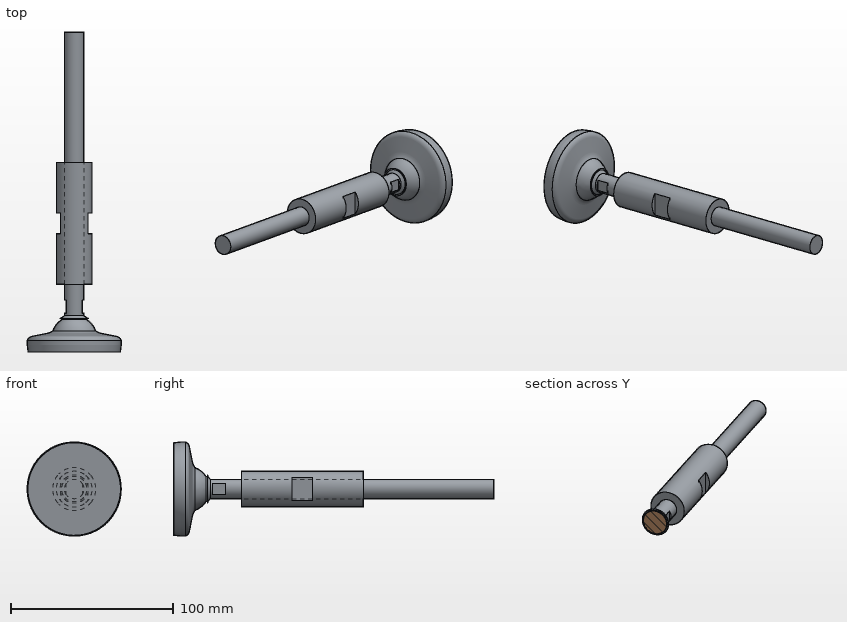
import cadquery as cq
import math

TOTAL_LENGTH = 197.0

PLATE_RADIUS = 29.0
GROUND_RADIUS = 28.5
TAPER_HEIGHT = 4.2
RIM_TOP = 7.2
SHOULDER_RADIUS = 26.0
SHOULDER_HEIGHT = 9.7
DOME_CENTRE = 8.1
DOME_RADIUS = 14.15
DOME_FOOT_HEIGHT = 13.1
DOME_TOP = 19.9
FLARE_RADIUS = 16.5
FLARE_HEIGHT = 11.6

SPINDLE_RADIUS = 12.0 / 2
SPINDLE_FLATS = 10.0
SPINDLE_FLAT_START = 23.9
SPINDLE_FLAT_LENGTH = 8.0
NECK_RADIUS = 7.8
LIP_RADIUS = 8.7
LIP_HEIGHT = 20.8
COLLAR_TOP = 22.5
COLLAR_SAG = 0.2

SLEEVE_RADIUS = 22.0 / 2
SLEEVE_LENGTH = 75.0
SLEEVE_START = 41.7
SLEEVE_FLATS = 17.0
SLEEVE_FLAT_LENGTH = 12.5


def revolve_about_y(profile):
    """Close a (radius, height) profile and turn it around the Y axis."""
    return profile.close().revolve(360, (0, 0, 0), (0, 1, 0))


def cut_flats(body, radius, across_flats, start, length):
    """Cut two parallel wrench flats on the -X and +X sides of a round body."""
    depth = radius - across_flats / 2
    for side in (-1, 1):
        cutter = cq.Workplane("XY").box(2 * depth, length, 2 * radius)
        offset = side * (across_flats / 2 + depth)
        body = body.cut(cutter.translate((offset, start + length / 2, 0)))
    return body


def arc_middle(start, end, rise):
    """Middle point of an arc that stands off its chord to the left of travel by rise."""
    dx = end[0] - start[0]
    dy = end[1] - start[1]
    chord = math.dist(start, end)
    return (
        (start[0] + end[0]) / 2 - rise * dy / chord,
        (start[1] + end[1]) / 2 + rise * dx / chord,
    )


def tangent_arc_rise(start, end, tangent_angle):
    """Rise, to the left of travel, of an arc that leaves start at the given angle and reaches end."""
    chord = math.dist(start, end)
    chord_angle = math.atan2(end[1] - start[1], end[0] - start[0])
    return chord / 2 * math.tan((tangent_angle - chord_angle) / 2)


def dome_radius_at(height):
    return math.sqrt(DOME_RADIUS**2 - (height - DOME_CENTRE) ** 2)


def make_foot_plate():
    rim_top = (PLATE_RADIUS, RIM_TOP)
    shoulder = (SHOULDER_RADIUS, SHOULDER_HEIGHT)
    flare = (FLARE_RADIUS, FLARE_HEIGHT)
    dome_foot = (dome_radius_at(DOME_FOOT_HEIGHT), DOME_FOOT_HEIGHT)
    dome_top = (dome_radius_at(DOME_TOP), DOME_TOP)
    middle_height = (DOME_FOOT_HEIGHT + DOME_TOP) / 2
    dome_middle = (dome_radius_at(middle_height), middle_height)

    slope_inward = math.atan2(flare[1] - shoulder[1], flare[0] - shoulder[0])
    slope_outward = slope_inward - math.pi
    shoulder_rise = tangent_arc_rise(shoulder, rim_top, slope_outward)
    flare_rise = tangent_arc_rise(flare, dome_foot, slope_inward)

    profile = (
        cq.Workplane("XY")
        .lineTo(GROUND_RADIUS, 0)
        .lineTo(PLATE_RADIUS, TAPER_HEIGHT)
        .lineTo(*rim_top)
        .threePointArc(arc_middle(shoulder, rim_top, shoulder_rise), shoulder)
        .lineTo(*flare)
        .threePointArc(arc_middle(flare, dome_foot, flare_rise), dome_foot)
        .threePointArc(dome_middle, dome_top)
        .lineTo(0, DOME_TOP)
    )
    return revolve_about_y(profile)


def make_spindle():
    lip = (LIP_RADIUS, LIP_HEIGHT)
    collar_top = (SPINDLE_RADIUS, COLLAR_TOP)
    profile = (
        cq.Workplane("XY")
        .moveTo(0, DOME_TOP)
        .lineTo(NECK_RADIUS, DOME_TOP)
        .lineTo(NECK_RADIUS, LIP_HEIGHT)
        .lineTo(*lip)
        .threePointArc(arc_middle(lip, collar_top, COLLAR_SAG), collar_top)
        .lineTo(SPINDLE_RADIUS, TOTAL_LENGTH)
        .lineTo(0, TOTAL_LENGTH)
    )
    shaft = revolve_about_y(profile)
    return cut_flats(shaft, SPINDLE_RADIUS, SPINDLE_FLATS, SPINDLE_FLAT_START, SPINDLE_FLAT_LENGTH)


def make_sleeve():
    profile = (
        cq.Workplane("XY")
        .moveTo(SPINDLE_RADIUS, SLEEVE_START)
        .lineTo(SLEEVE_RADIUS, SLEEVE_START)
        .lineTo(SLEEVE_RADIUS, SLEEVE_START + SLEEVE_LENGTH)
        .lineTo(SPINDLE_RADIUS, SLEEVE_START + SLEEVE_LENGTH)
    )
    tube = revolve_about_y(profile)
    flat_start = SLEEVE_START + (SLEEVE_LENGTH - SLEEVE_FLAT_LENGTH) / 2
    return cut_flats(tube, SLEEVE_RADIUS, SLEEVE_FLATS, flat_start, SLEEVE_FLAT_LENGTH)


foot_plate = make_foot_plate()
spindle = make_spindle()
sleeve = make_sleeve()

result = cq.Compound.makeCompound([foot_plate.val(), spindle.val(), sleeve.val()])